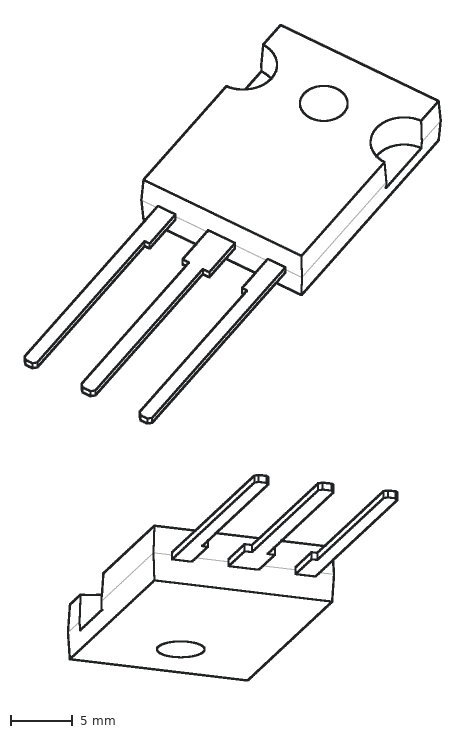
import cadquery as cq

body_width = 15.5
body_length = 20.55
body_height = 4.7
parting_height = 2.3
draft_angle = 3.0

feature_offset_from_back = 5.43
hole_diameter = 3.85
notch_floor_height = 1.58
notch_floor_radius = 2.6
notch_top_radius = 2.7

overall_length = 40.5
lead_bottom_height = 1.95
lead_thickness = 0.6
shoulder_length = 3.8
tip_chamfer = 0.3
outer_lead_outside = 6.15
outer_shoulder_width = 1.7
outer_pin_width = 1.2
centre_shoulder_width = 2.6
centre_pin_width = 1.35

feature_y = body_length - feature_offset_from_back
lead_length = overall_length - body_length
lead_embed = 0.8


def body_half(height):
    """Tapered block from the parting plane; a negative height goes downward."""
    block = cq.Workplane("XY").rect(body_width, body_length)
    block = block.extrude(abs(height), taper=draft_angle)
    if height < 0:
        block = block.mirror("XY")
    return block.translate((0, body_length / 2, parting_height))


def side_notch(side):
    """Conical cutter centred on one side edge, widening toward the top."""
    depth = body_height - notch_floor_height
    cone = cq.Solid.makeCone(notch_floor_radius, notch_top_radius, depth)
    return cone.translate(cq.Vector(side * body_width / 2, feature_y, notch_floor_height))


def lead(shoulder_left, shoulder_right, pin_left, pin_right):
    """Flat lead with a wide shoulder stepping down to a pin with a chamfered tip."""
    outline = [
        (shoulder_left, lead_embed),
        (shoulder_left, -shoulder_length),
        (pin_left, -shoulder_length),
        (pin_left, tip_chamfer - lead_length),
        (pin_left + tip_chamfer, -lead_length),
        (pin_right - tip_chamfer, -lead_length),
        (pin_right, tip_chamfer - lead_length),
        (pin_right, -shoulder_length),
        (shoulder_right, -shoulder_length),
        (shoulder_right, lead_embed),
    ]
    points = [point for i, point in enumerate(outline) if point != outline[i - 1]]
    plane = cq.Workplane("XY").workplane(offset=lead_bottom_height)
    return plane.polyline(points).close().extrude(lead_thickness)


body = body_half(body_height - parting_height).union(body_half(-parting_height))
hole = cq.Workplane("XY").center(0, feature_y).circle(hole_diameter / 2).extrude(body_height)
body = body.cut(hole)
for side in (-1, 1):
    body = body.cut(cq.Workplane(side_notch(side)))

left_lead = lead(
    -outer_lead_outside,
    -outer_lead_outside + outer_shoulder_width,
    -outer_lead_outside,
    -outer_lead_outside + outer_pin_width,
)
centre_lead = lead(
    -centre_shoulder_width / 2,
    centre_shoulder_width / 2,
    -centre_pin_width / 2,
    centre_pin_width / 2,
)
result = body.union(left_lead).union(left_lead.mirror("YZ")).union(centre_lead)